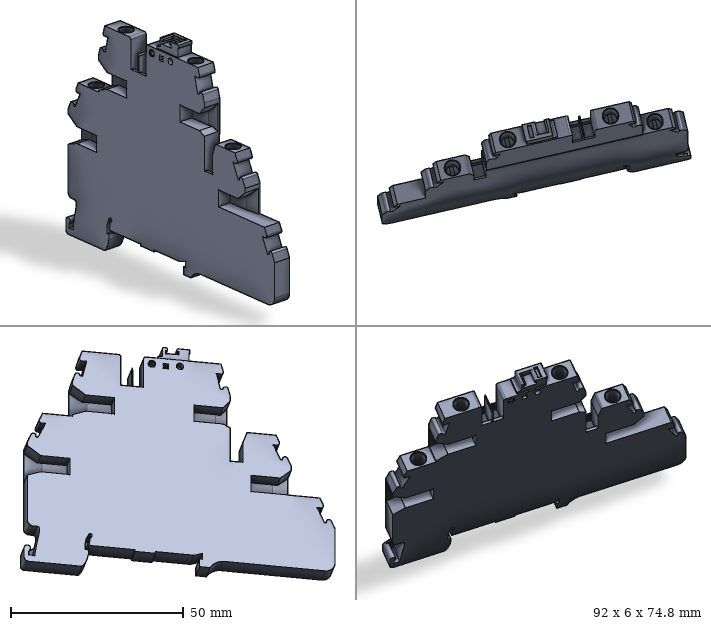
import cadquery as cq


join_overlap = 0.9

total_depth = 6.0
body_depth = 5.8
mid_y = 2.9

base_z = 7.1
right_base_z = 6.0
base_corner_z = 11.8
lower_shelf_z = 29.8
middle_shelf_z = 49.1
top_z = 70.8
overall_height = 74.8

length = 92.0
left_wall_x = 0.9
upper_left_x = 14.35
upper_right_x = 61.0
right_wall_x = 79.0

wall_corner_radius = 1.75
end_corner_radius = 2.9
foot_corner_radius = 1.3
foot_notch_radius = 0.7

claw_left_x = 51.9
claw_notch_x = 52.7
claw_right_x = 55.0
claw_bottom_z = 3.5
claw_notch_bottom_z = 6.1
claw_notch_top_z = 7.9
claw_slope_x = 50.2
claw_root_x = 58.9

pad_left_x = 32.8
pad_right_x = 38.9
pad_bottom_z = 6.5

slit_left_x = 18.1
slit_right_x = 19.2
slit_mouth_z = 7.45
toe_x = 18.95
toe_top_z = 5.7
toe_bend_z = 4.05
toe_bottom_x = 17.1
hook_shoulder_z = 4.4
hook_top_z = 5.3
groove_left_x = 1.4
groove_right_x = 3.1
groove_floor_z = 2.1
hook_underside_z = 3.3
foot_neck_x = 4.5
foot_neck_z = 9.8
foot_middle = (4.0, 7.2)
web_front_y = 5.15
web_left_x = 0.9
web_root_z = 0.9

slot_left_x = 28.6
slot_right_x = 35.3
slot_floor_z = 60.8
slot_edge_radius = 0.7
fin_x = 31.9
fin_width = 0.5
fin_shoulder_z = 66.05
fin_tip_z = 66.7

gap_right_x = 64.7
gap_floor_z = 39.2
post_bend_z = 45.5
post_top_x = 65.8
post_edge_radius = 0.5

channel_front_y = 0.9
slot_channel_back_y = 5.5
gap_channel_back_y = 5.2
channel_depth = 3.2

steep_notch = [
    (0.6, 2.3), (0.55, 3.0), (0.1, 3.3), (-1.4, 3.2), (-0.3, 7.9),
    (0.2, 8.3), (0.6, 7.9), (1.3, 7.4), (2.1, 7.9), (2.8, 10.3),
]
sloped_notch = [
    (1.1, 2.2), (1.0, 2.85), (0.5, 3.2), (-0.9, 3.2), (1.4, 7.8),
    (1.7, 8.0), (2.1, 7.5), (3.0, 6.8), (3.7, 7.3), (4.9, 9.75),
]

entry_box_length = 7.3
entry_box_height = 5.3
entry_bend = 8.65
upper_entry_z = 51.15
lower_entry_z = lower_shelf_z
entry_inner_y = 4.6
upper_mouth_y = 5.3
lower_mouth_y = 5.15

screw_rim_diameter = 4.8
screw_hole_diameter = 4.3
screw_head_diameter = 4.0
screw_recess = 6.0
screw_height = 1.8
screw_slot_width = 1.1
screw_slot_depth = 0.7
screw_places = [(10.0, middle_shelf_z), (23.3, top_z), (53.9, top_z), (70.4, middle_shelf_z)]

marker_z = 68.8
step_hole_x = 37.8
step_hole_diameter = 2.1
step_hole_inner_diameter = 1.75
window_x = 41.95
window_z = 68.4
window_size = 1.6
round_hole_x = 46.1
round_hole_diameter = 2.0
step_hole_depth = 0.5
marker_depth = 2.3

plug_front_y = 0.5
plug_back_y = 5.6
plug_foot_x = 39.65
plug_foot_z = 71.7
plug_left_x = 41.0
plug_right_x = 49.1
plug_waist_x = 48.85
plug_step_z = 73.8
plug_mouth_left_x = 42.5
plug_mouth_right_x = 45.3
plug_mouth_bevel = 0.55
plug_cavity_left_x = plug_mouth_left_x - plug_mouth_bevel
plug_cavity_right_x = plug_mouth_right_x + plug_mouth_bevel
plug_cavity_top_z = 73.9
plug_cavity_floor_z = 72.9
plug_cavity_back_y = 4.4
plug_foot_fillet = 0.6
plug_edge_radius = 0.4
plug_groove_x = 47.1
plug_groove_width = 1.1
plug_groove_length = 3.7


def box(x0, x1, y0, y1, z0, z1):
    return cq.Workplane("XY").box(x1 - x0, y1 - y0, z1 - z0, centered=False).translate((x0, y0, z0))


def plate(sketch, y0, y1):
    """Thicken a closed XZ outline from y0 to y1."""
    return sketch.extrude(-(y1 - y0)).translate((0, y0, 0))


def snap_notch(points, wall_x, shelf_z, outward):
    """Cutter shaping the corner of a tier; outward is -1 to the left, +1 to the right."""
    reach = points[-1][0]

    def place(out, down):
        return (wall_x + outward * (out - reach), shelf_z - down)

    (lip_start, lip_middle, lip_end, root, seat,
     valley, bump_foot, bump_crest, bump_end, wall) = [place(*point) for point in points]
    outline = (
        cq.Workplane("XZ")
        .moveTo(*place(0, 0))
        .lineTo(*lip_start)
        .threePointArc(lip_middle, lip_end)
        .lineTo(*root)
        .lineTo(*seat)
        .threePointArc(valley, bump_foot)
        .threePointArc(bump_crest, bump_end)
        .lineTo(*wall)
        .lineTo(*place(reach, 0))
        .close()
    )
    return plate(outline, 0, total_depth)


def body_outline():
    return (
        cq.Workplane("XZ")
        .moveTo(left_wall_x, base_corner_z + wall_corner_radius)
        .lineTo(left_wall_x, middle_shelf_z)
        .lineTo(upper_left_x, middle_shelf_z)
        .lineTo(upper_left_x, top_z)
        .lineTo(slot_left_x - slot_edge_radius, top_z)
        .radiusArc((slot_left_x, top_z - slot_edge_radius), slot_edge_radius)
        .lineTo(slot_left_x, slot_floor_z)
        .lineTo(slot_right_x, slot_floor_z)
        .lineTo(slot_right_x, top_z - slot_edge_radius)
        .radiusArc((slot_right_x + slot_edge_radius, top_z), slot_edge_radius)
        .lineTo(upper_right_x, top_z)
        .lineTo(upper_right_x, gap_floor_z)
        .lineTo(gap_right_x, gap_floor_z)
        .lineTo(gap_right_x, post_bend_z)
        .lineTo(post_top_x, middle_shelf_z - post_edge_radius)
        .radiusArc((post_top_x + post_edge_radius, middle_shelf_z), post_edge_radius)
        .lineTo(right_wall_x, middle_shelf_z)
        .lineTo(right_wall_x, lower_shelf_z)
        .lineTo(length, lower_shelf_z)
        .lineTo(length, right_base_z + end_corner_radius)
        .radiusArc((length - end_corner_radius, right_base_z), end_corner_radius)
        .lineTo(claw_root_x, right_base_z)
        .threePointArc((56.6, 5.15), (claw_right_x, claw_bottom_z))
        .lineTo(claw_left_x, claw_bottom_z)
        .lineTo(claw_left_x, claw_notch_bottom_z)
        .lineTo(claw_notch_x, claw_notch_bottom_z)
        .lineTo(claw_notch_x, claw_notch_top_z)
        .lineTo(claw_slope_x, base_z)
        .lineTo(pad_right_x, base_z)
        .lineTo(pad_right_x, pad_bottom_z)
        .lineTo(pad_left_x, pad_bottom_z)
        .lineTo(pad_left_x, base_z)
        .lineTo(slit_right_x, base_z)
        .lineTo(19.5, 9.6)
        .lineTo(20.05, 10.3)
        .threePointArc((19.7, 10.95), (19.0, 10.5))
        .threePointArc((18.4, 9.2), (slit_left_x, slit_mouth_z))
        .lineTo(slit_left_x, toe_top_z)
        .lineTo(toe_x, toe_top_z)
        .lineTo(toe_x, toe_bend_z)
        .threePointArc((18.5, 2.1), (toe_bottom_x, 0))
        .lineTo(foot_corner_radius, 0)
        .radiusArc((0, foot_corner_radius), foot_corner_radius)
        .lineTo(0, hook_shoulder_z)
        .threePointArc((0.9, hook_top_z), (1.9, 4.3))
        .lineTo(groove_left_x, hook_underside_z)
        .lineTo(groove_left_x, groove_floor_z)
        .lineTo(groove_right_x, groove_floor_z)
        .threePointArc(foot_middle, (foot_neck_x, foot_neck_z))
        .lineTo(foot_neck_x, base_corner_z - foot_notch_radius)
        .radiusArc((foot_neck_x - foot_notch_radius, base_corner_z), -foot_notch_radius)
        .lineTo(left_wall_x + wall_corner_radius, base_corner_z)
        .radiusArc((left_wall_x, base_corner_z + wall_corner_radius), wall_corner_radius)
        .close()
    )


def make_body():
    body = plate(body_outline(), 0, total_depth)
    body = body.cut(box(0, length, body_depth, total_depth, 0, middle_shelf_z))
    body = body.cut(box(upper_right_x, length, body_depth, total_depth, 0, top_z))
    for notch in [
        (sloped_notch, left_wall_x, middle_shelf_z, -0.9),
        (steep_notch, upper_left_x, top_z, -1),
        (steep_notch, upper_right_x, top_z, 1),
        (sloped_notch, right_wall_x, middle_shelf_z, 0.9),
        (sloped_notch, length, lower_shelf_z, 0.9),
    ]:
        body = body.cut(snap_notch(*notch))
    return body


def make_foot_web():
    """Thin wall closing the back of the foot groove."""
    web = cq.Workplane("XZ").polyline([
        (web_left_x, hook_top_z), (web_left_x, web_root_z), (groove_right_x, web_root_z), foot_middle,
    ]).close()
    return plate(web, web_front_y, body_depth)


def make_fin():
    half = fin_width / 2
    fin_root_z = slot_floor_z - channel_depth - join_overlap
    fin = cq.Workplane("XZ").polyline([
        (fin_x - half, fin_root_z), (fin_x - half, fin_shoulder_z),
        (fin_x, fin_tip_z),
        (fin_x + half, fin_shoulder_z), (fin_x + half, fin_root_z),
    ]).close()
    return plate(fin, 0, total_depth)


def channel(x0, x1, back_y, floor_z):
    return box(x0, x1, channel_front_y, back_y, floor_z - channel_depth, floor_z)


def entry_pocket(mouth_x, inner_x, floor_z, mouth_bottom_z, mouth_top_z, mouth_y):
    """Rectangular wire entry with a mouth flaring up, down and towards the back."""
    outward = 1 if mouth_x > inner_x else -1
    bend_x = inner_x + outward * entry_bend
    box_end_x = inner_x + outward * entry_box_length
    ceiling_z = floor_z + entry_box_height
    front_shape = cq.Workplane("XZ").polyline([
        (inner_x, floor_z), (inner_x, ceiling_z), (bend_x, ceiling_z), (mouth_x, mouth_top_z),
        (mouth_x, mouth_bottom_z), (bend_x, floor_z),
    ]).close()
    plan_shape = cq.Workplane("XY").polyline([
        (inner_x, 0), (inner_x, entry_inner_y), (box_end_x, entry_inner_y),
        (mouth_x, mouth_y), (mouth_x, 0),
    ]).close().extrude(overall_height)
    return plate(front_shape, 0, total_depth).intersect(plan_shape)


def screw_well(x, shelf_z):
    """Round well holding a slotted screw head that stands clear of its wall."""
    screw_top_z = shelf_z - screw_recess
    well = (
        cq.Workplane("XY", origin=(x, mid_y, shelf_z)).circle(screw_hole_diameter / 2)
        .extrude(-(screw_recess + screw_height))
    )
    rim_radius = screw_rim_diameter / 2
    rim = cq.Solid.makeCone(
        rim_radius, 0, rim_radius, pnt=cq.Vector(x, mid_y, shelf_z), dir=cq.Vector(0, 0, -1)
    )
    head = (
        cq.Workplane("XY", origin=(x, mid_y, screw_top_z)).circle(screw_head_diameter / 2)
        .extrude(-screw_height)
    )
    half_slot = screw_slot_width / 2
    slot = box(x - half_slot, x + half_slot, 0, total_depth, screw_top_z - screw_slot_depth, screw_top_z)
    return well.union(cq.Workplane(rim)).cut(head.cut(slot))


def front_hole(x, diameter, depth):
    return plate(cq.Workplane("XZ").center(x, marker_z).circle(diameter / 2), 0, depth)


def make_plug():
    outline = (
        cq.Workplane("XZ")
        .moveTo(plug_foot_x, top_z - join_overlap)
        .lineTo(plug_foot_x, plug_foot_z)
        .lineTo(plug_left_x - plug_foot_fillet, plug_foot_z)
        .radiusArc((plug_left_x, plug_foot_z + plug_foot_fillet), -plug_foot_fillet)
        .lineTo(plug_left_x, overall_height - plug_edge_radius)
        .radiusArc((plug_left_x + plug_edge_radius, overall_height), plug_edge_radius)
        .lineTo(plug_right_x, overall_height)
        .lineTo(plug_right_x, plug_step_z)
        .lineTo(plug_waist_x, plug_step_z)
        .lineTo(plug_waist_x, top_z - join_overlap)
        .close()
    )
    cavity = (
        cq.Workplane("XZ")
        .moveTo(plug_cavity_left_x, plug_cavity_floor_z)
        .lineTo(plug_cavity_left_x, plug_cavity_top_z)
        .lineTo(plug_mouth_left_x, plug_cavity_top_z)
        .lineTo(plug_mouth_left_x, overall_height - plug_mouth_bevel / 2)
        .lineTo(plug_cavity_left_x, overall_height)
        .lineTo(plug_cavity_right_x, overall_height)
        .radiusArc((plug_mouth_right_x, overall_height - plug_mouth_bevel), -plug_mouth_bevel)
        .lineTo(plug_mouth_right_x, plug_cavity_top_z)
        .lineTo(plug_cavity_right_x, plug_cavity_top_z)
        .lineTo(plug_cavity_right_x, plug_cavity_floor_z)
        .close()
    )
    groove = box(plug_groove_x - plug_groove_width / 2, plug_groove_x + plug_groove_width / 2,
                 mid_y - plug_groove_length / 2, mid_y + plug_groove_length / 2,
                 plug_step_z, overall_height)
    plug = plate(outline, plug_front_y, plug_back_y)
    return plug.cut(plate(cavity, 0, plug_cavity_back_y)).cut(groove)


result = make_body().union(make_foot_web())
result = result.cut(channel(slot_left_x, slot_right_x, slot_channel_back_y, slot_floor_z))
result = result.cut(channel(upper_right_x, gap_right_x, gap_channel_back_y, gap_floor_z))
result = result.union(make_fin())

for entry in [
    (upper_left_x, 26.8, upper_entry_z, 49.6, 59.2, upper_mouth_y),
    (upper_right_x, 50.2, upper_entry_z, 50.0, 59.0, upper_mouth_y),
    (left_wall_x, 13.5, lower_entry_z, 28.3, 38.0, lower_mouth_y),
    (right_wall_x, 67.15, lower_entry_z, lower_entry_z, 38.0, lower_mouth_y),
]:
    result = result.cut(entry_pocket(*entry))

for screw_x, shelf_z in screw_places:
    result = result.cut(screw_well(screw_x, shelf_z))

result = result.cut(front_hole(step_hole_x, step_hole_diameter, step_hole_depth))
result = result.cut(front_hole(step_hole_x, step_hole_inner_diameter, marker_depth))
result = result.cut(front_hole(round_hole_x, round_hole_diameter, marker_depth))
half_window = window_size / 2
result = result.cut(box(
    window_x - half_window, window_x + half_window, 0, marker_depth,
    window_z - half_window, window_z + half_window,
))

result = result.union(make_plug())